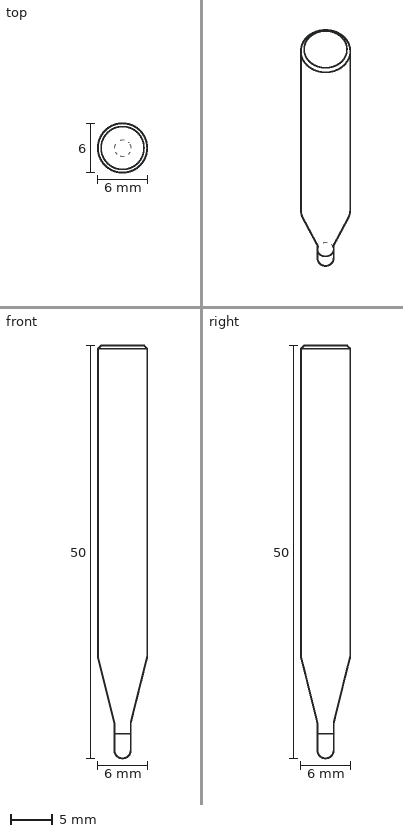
import cadquery as cq
import math

overall_length = 50.0
shank_diameter = 6.0
ball_diameter = 2.0
neck_diameter = ball_diameter
tip_length = 3.0
neck_top = 4.3
cone_length = 8.0
shank_chamfer = 0.4

shank_radius = shank_diameter / 2
neck_radius = neck_diameter / 2
ball_radius = ball_diameter / 2
cone_top = neck_top + cone_length


def make_holder():
    """Chamfered shank, cone and short neck, revolved about Z."""
    profile = (
        cq.Workplane("XZ")
        .moveTo(0, tip_length)
        .lineTo(neck_radius, tip_length)
        .lineTo(neck_radius, neck_top)
        .lineTo(shank_radius, cone_top)
        .lineTo(shank_radius, overall_length - shank_chamfer)
        .lineTo(shank_radius - shank_chamfer, overall_length)
        .lineTo(0, overall_length)
        .close()
    )
    return profile.revolve(360, (0, 0, 0), (0, 1, 0))


def make_ball_tip():
    """Cylinder ending in a hemisphere at the bottom, butted against the neck."""
    arc_offset = ball_radius * math.sqrt(0.5)
    profile = (
        cq.Workplane("XZ")
        .moveTo(0, 0)
        .threePointArc((arc_offset, ball_radius - arc_offset), (ball_radius, ball_radius))
        .lineTo(ball_radius, tip_length)
        .lineTo(0, tip_length)
        .close()
    )
    return profile.revolve(360, (0, 0, 0), (0, 1, 0))


holder = make_holder()
ball_tip = make_ball_tip()

result = cq.Compound.makeCompound([holder.val(), ball_tip.val()])